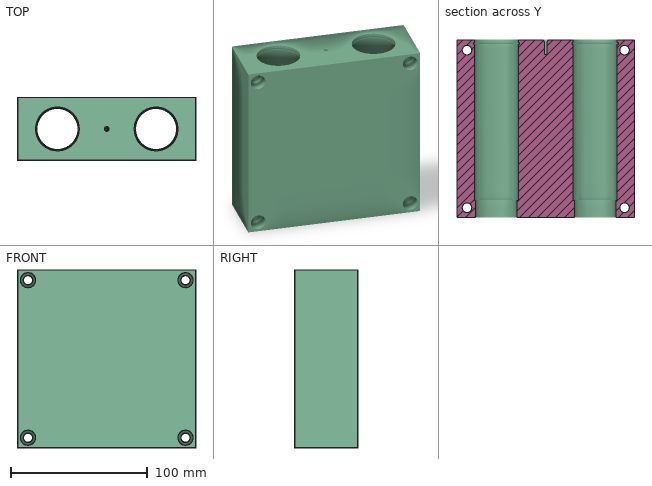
import cadquery as cq

side = 130.0
thickness = 46.0

bore_spacing = 72.0
bore_diameter = 32.0
groove_diameter = 33.5
groove_offset = 2.0
groove_width = 1.3
shoulder_diameter = 30.0
shoulder_height = 13.0

port_diameter = 3.4
port_angle = 60.0
pilot_diameter = 1.5
pilot_depth = 10.4

screw_spacing = 115.0
screw_diameter = 6.6
head_diameter = 11.0
head_depth = 6.6


def make_block():
    return cq.Workplane("XY").box(side, thickness, side)


def bore_cutter(x):
    """Revolve the stepped half profile of one bore about its vertical axis."""
    top = side / 2
    groove_top = top - groove_offset
    groove_bottom = groove_top - groove_width
    shoulder_top = -top + shoulder_height
    profile = [
        (0, top),
        (bore_diameter / 2, top),
        (bore_diameter / 2, groove_top),
        (groove_diameter / 2, groove_top),
        (groove_diameter / 2, groove_bottom),
        (bore_diameter / 2, groove_bottom),
        (bore_diameter / 2, shoulder_top),
        (shoulder_diameter / 2, shoulder_top),
        (shoulder_diameter / 2, -top),
        (0, -top),
    ]
    return (
        cq.Workplane("XZ", origin=(x, 0, 0))
        .polyline(profile)
        .close()
        .revolve(360, (0, 0), (0, 1))
    )


def cut_bores(body):
    for x in (-bore_spacing / 2, bore_spacing / 2):
        body = body.cut(bore_cutter(x))
    return body


def cut_port(body):
    return (
        body.faces(">Z")
        .workplane(origin=(0, 0, 0))
        .cskHole(pilot_diameter, port_diameter, port_angle, pilot_depth)
    )


def cut_screw_holes(body):
    return (
        body.faces("<Y")
        .workplane(origin=(0, 0, 0))
        .rarray(screw_spacing, screw_spacing, 2, 2)
        .cboreHole(screw_diameter, head_diameter, head_depth)
    )


result = cut_screw_holes(cut_port(cut_bores(make_block())))